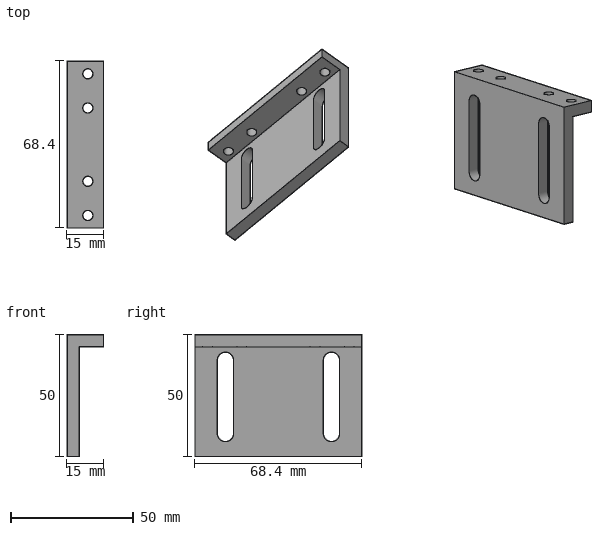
import cadquery as cq

depth = 15.0
length = 68.4
height = 50.0
thickness = 5.0

slot_width = 6.6
slot_length = 36.5
slot_bottom_margin = 6.2
slot_spacing = 43.4

hole_diameter = 4.05
hole_setback = 8.5
inner_hole_spacing = 30.0
outer_hole_spacing = 58.0


def make_bracket():
    """Upright plate with a flange along its top edge, centred on Y."""
    plate = cq.Workplane("XY").box(thickness, length, height, centered=(False, True, False))
    flange = (
        cq.Workplane("XY", origin=(0, 0, height - thickness))
        .box(depth, length, thickness, centered=(False, True, False))
    )
    return plate.union(flange)


def make_slots():
    """Pair of round-ended vertical cutters through the upright plate."""
    slot_center_z = slot_bottom_margin + slot_length / 2
    return (
        cq.Workplane("YZ")
        .pushPoints([(side * slot_spacing / 2, slot_center_z) for side in (-1, 1)])
        .slot2D(slot_length, slot_width, 90)
        .extrude(thickness)
    )


def make_flange_holes():
    """Symmetric row of four cylindrical cutters through the flange."""
    centers = [
        (hole_setback, side * spacing / 2)
        for spacing in (inner_hole_spacing, outer_hole_spacing)
        for side in (-1, 1)
    ]
    return (
        cq.Workplane("XY", origin=(0, 0, height - thickness))
        .pushPoints(centers)
        .circle(hole_diameter / 2)
        .extrude(thickness)
    )


result = make_bracket().cut(make_slots()).cut(make_flange_holes())